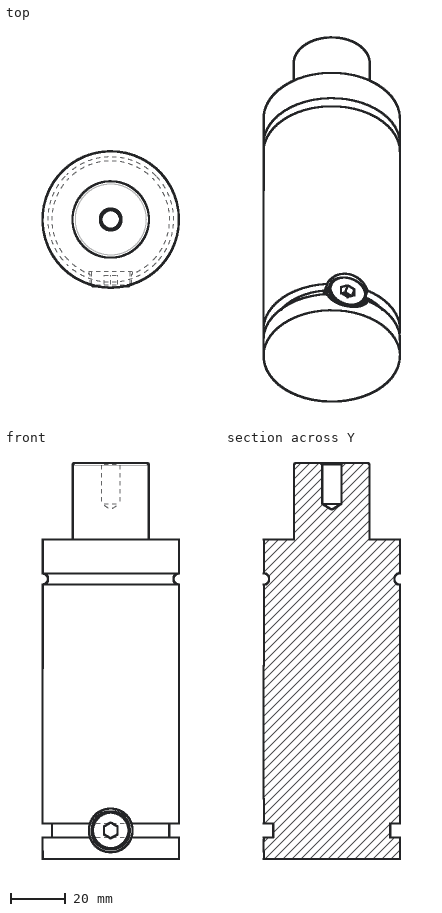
import cadquery as cq
import math

body_diameter = 50.0
body_height = 117.0
total_height = 145.0

rod_diameter = 28.0
rod_edge_radius = 1.0

tap_diameter = 6.8
tap_mouth_diameter = 8.0
tap_depth = 15.0
drill_point_angle = 118.0

round_groove_radius = 2.0
round_groove_z = 102.5

square_groove_bottom = 8.0
square_groove_top = 13.0
square_groove_depth = 3.5

plug_z = (square_groove_bottom + square_groove_top) / 2
plug_diameter = 14.0
plug_chamfer = 0.5
plug_face_recess = 0.5
plug_bore_diameter = 16.0
plug_bore_depth = 6.0
hex_across_flats = 5.0
hex_rotation = 30.0
hex_depth = 4.0

body_radius = body_diameter / 2


def make_body():
    """Turned cylinder with its half-round and square grooves."""
    floor_radius = body_radius - square_groove_depth
    return (
        cq.Workplane("XZ")
        .moveTo(0, 0)
        .lineTo(body_radius, 0)
        .lineTo(body_radius, square_groove_bottom)
        .lineTo(floor_radius, square_groove_bottom)
        .lineTo(floor_radius, square_groove_top)
        .lineTo(body_radius, square_groove_top)
        .lineTo(body_radius, round_groove_z - round_groove_radius)
        .threePointArc(
            (body_radius - round_groove_radius, round_groove_z),
            (body_radius, round_groove_z + round_groove_radius),
        )
        .lineTo(body_radius, body_height)
        .lineTo(0, body_height)
        .close()
        .revolve(360, (0, 0, 0), (0, 1, 0))
    )


def make_rod():
    """Piston rod with a rounded free end."""
    return (
        cq.Workplane("XY", origin=(0, 0, body_height))
        .circle(rod_diameter / 2)
        .extrude(total_height - body_height)
        .faces(">Z")
        .edges()
        .fillet(rod_edge_radius)
    )


def make_tapped_hole():
    """Blind hole in the rod end with a 45 degree mouth and a drill point."""
    radius = tap_diameter / 2
    mouth_radius = tap_mouth_diameter / 2
    mouth_depth = mouth_radius - radius
    point_length = radius / math.tan(math.radians(drill_point_angle / 2))
    floor_z = total_height - tap_depth
    return (
        cq.Workplane("XZ")
        .moveTo(0, total_height)
        .lineTo(mouth_radius, total_height)
        .lineTo(radius, total_height - mouth_depth)
        .lineTo(radius, floor_z)
        .lineTo(0, floor_z - point_length)
        .close()
        .revolve(360, (0, 0, 0), (0, 1, 0))
    )


def plug_plane(recess):
    """Workplane facing -Y on the plug axis, set in from the body's outer side."""
    return cq.Workplane("XZ", origin=(0, recess - body_radius, plug_z))


def make_plug_bore():
    """Round recess around the plug."""
    return plug_plane(0).circle(plug_bore_diameter / 2).extrude(-plug_bore_depth)


def make_plug():
    """Plug standing on the floor of its bore, with a hexagon socket."""
    plug = (
        plug_plane(plug_bore_depth)
        .circle(plug_diameter / 2)
        .extrude(plug_bore_depth - plug_face_recess)
        .faces("<Y")
        .edges()
        .chamfer(plug_chamfer)
    )
    hex_across_corners = hex_across_flats / math.cos(math.pi / 6)
    socket = (
        plug_plane(plug_face_recess)
        .transformed(rotate=(0, 0, hex_rotation))
        .polygon(6, hex_across_corners)
        .extrude(-hex_depth)
    )
    return plug.cut(socket)


result = (
    make_body()
    .union(make_rod())
    .cut(make_tapped_hole())
    .cut(make_plug_bore())
    .union(make_plug())
)